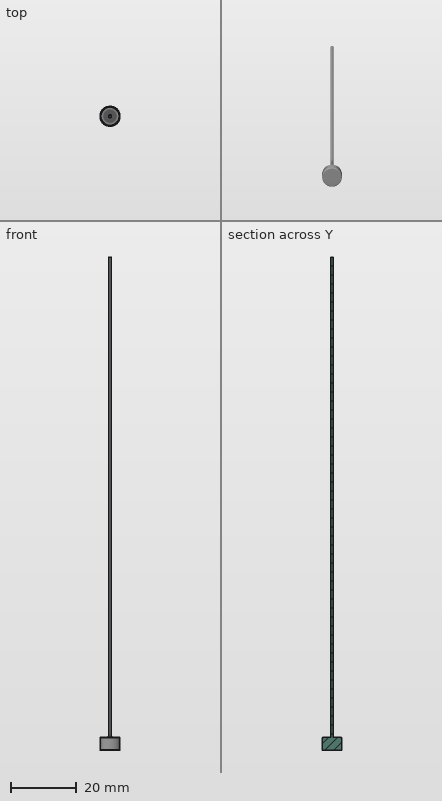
import cadquery as cq

TOTAL_LENGTH = 150.0
HEAD_DIAMETER = 6.0
HEAD_HEIGHT = 4.0
RIM_CHAMFER = 0.2
ROD_DIAMETER = 0.8
ROOT_FILLET = 0.3

HEAD_RADIUS = HEAD_DIAMETER / 2
ROD_RADIUS = ROD_DIAMETER / 2


def make_half_profile():
    """Half section in the XZ plane: chamfered head, rounded rod root and thin rod."""
    return (
        cq.Workplane("XZ")
        .moveTo(0, 0)
        .lineTo(-(HEAD_RADIUS - RIM_CHAMFER), 0)
        .lineTo(-HEAD_RADIUS, RIM_CHAMFER)
        .lineTo(-HEAD_RADIUS, HEAD_HEIGHT - RIM_CHAMFER)
        .lineTo(-(HEAD_RADIUS - RIM_CHAMFER), HEAD_HEIGHT)
        .lineTo(-(ROD_RADIUS + ROOT_FILLET), HEAD_HEIGHT)
        .radiusArc((-ROD_RADIUS, HEAD_HEIGHT + ROOT_FILLET), -ROOT_FILLET)
        .lineTo(-ROD_RADIUS, TOTAL_LENGTH)
        .lineTo(0, TOTAL_LENGTH)
        .close()
    )


result = make_half_profile().revolve(360, (0, 0), (0, 1))